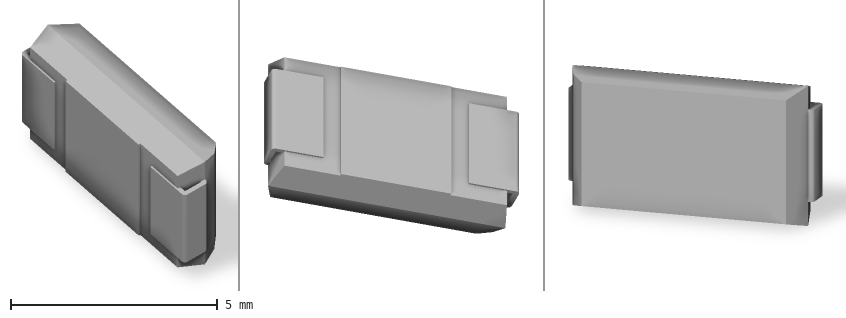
import cadquery as cq
import math

package_length = 6.3
package_height = 3.5
half_depth = 0.75

lead_thickness = 0.125
housing_length = 6.035
side_draft = math.tan(math.radians(15))
rear_end_inset = 0.3
polarity_chamfer = 0.32

pad_length = 2.8
pad_rise = 0.05

lead_width = 2.3
lead_arm_length = 1.3
lead_bend_radius = 0.1


def make_front_housing():
    """Front half, drafted on all four sides, with a raised pad between stepped-back ends."""
    pad_inset = half_depth * side_draft
    half = (
        cq.Workplane("XZ")
        .rect(housing_length, package_height)
        .workplane(offset=half_depth)
        .rect(housing_length - 2 * pad_inset, package_height - 2 * pad_inset)
        .loft(ruled=True, combine=True)
    )
    step_length = (package_length - pad_length) / 2
    step_x = (pad_length + step_length) / 2
    steps = (
        cq.Workplane("XZ", origin=(0, -half_depth + pad_rise, 0))
        .pushPoints([(-step_x, 0), (step_x, 0)])
        .rect(step_length, package_height)
        .extrude(pad_rise)
    )
    return half.cut(steps)


def make_rear_housing():
    """Rear half, tapering to the back, with a chamfer marking the polarity at the +X end."""
    rear_length = housing_length - 2 * rear_end_inset
    rear_height = package_height - 2 * half_depth * side_draft
    half = (
        cq.Workplane("XZ")
        .rect(housing_length, package_height)
        .workplane(offset=-half_depth)
        .rect(rear_length, rear_height)
        .loft(ruled=True, combine=True)
    )
    chamfer_start = rear_length / 2 - polarity_chamfer + polarity_chamfer * rear_end_inset / half_depth
    wedge = (
        cq.Workplane("XY")
        .moveTo(chamfer_start, half_depth)
        .lineTo(chamfer_start + half_depth, half_depth)
        .lineTo(chamfer_start + half_depth, 0)
        .close()
        .extrude(package_height / 2, both=True)
    )
    return half.cut(wedge)


def make_lead(side):
    """C-shaped lead at the -X (side = -1) or +X (side = 1) end, open towards the middle."""
    outer_x = side * package_length / 2
    arm_end_x = outer_x - side * lead_arm_length
    inner_x = outer_x - side * lead_thickness
    profile = (
        cq.Workplane("XY", origin=(0, 0, -lead_width / 2))
        .moveTo(arm_end_x, 0)
        .lineTo(outer_x, 0)
        .lineTo(outer_x, -half_depth)
        .lineTo(arm_end_x, -half_depth)
        .lineTo(arm_end_x, -half_depth + lead_thickness)
        .lineTo(inner_x, -half_depth + lead_thickness)
        .lineTo(inner_x, -lead_thickness)
        .lineTo(arm_end_x, -lead_thickness)
        .close()
        .extrude(lead_width)
    )
    end_face = "<X" if side < 0 else ">X"
    return profile.faces(end_face).edges("|Z").fillet(lead_bend_radius)


leads = [make_lead(side) for side in (-1, 1)]
rear_housing = make_rear_housing()

front_housing = make_front_housing()
for lead in leads:
    front_housing = front_housing.cut(lead)

result = cq.Compound.makeCompound(
    [front_housing.val(), rear_housing.val(), *[lead.val() for lead in leads]]
)